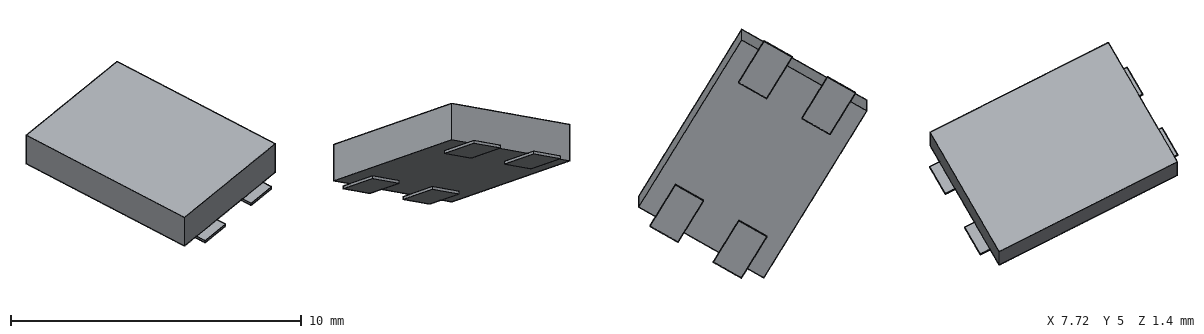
import cadquery as cq

overall_length = 7.72
overall_height = 1.4

housing_length = 6.97
housing_width = 5.0

lead_length = 1.73
lead_width = 1.13
lead_thickness = 0.1
lead_pitch = 2.53

housing_height = overall_height - lead_thickness
lead_center_x = (overall_length - lead_length) / 2


def make_housing():
    """Plain block resting on top of the leads."""
    return (
        cq.Workplane("XY")
        .workplane(offset=lead_thickness)
        .rect(housing_length, housing_width)
        .extrude(housing_height)
    )


def make_lead(center_x, center_y):
    """Flat lead with its underside at Z = 0."""
    return (
        cq.Workplane("XY")
        .center(center_x, center_y)
        .rect(lead_length, lead_width)
        .extrude(lead_thickness)
    )


housing = make_housing()
leads = [
    make_lead(side_x * lead_center_x, side_y * lead_pitch / 2)
    for side_x in (-1, 1)
    for side_y in (-1, 1)
]

result = cq.Compound.makeCompound([housing.val(), *[lead.val() for lead in leads]])